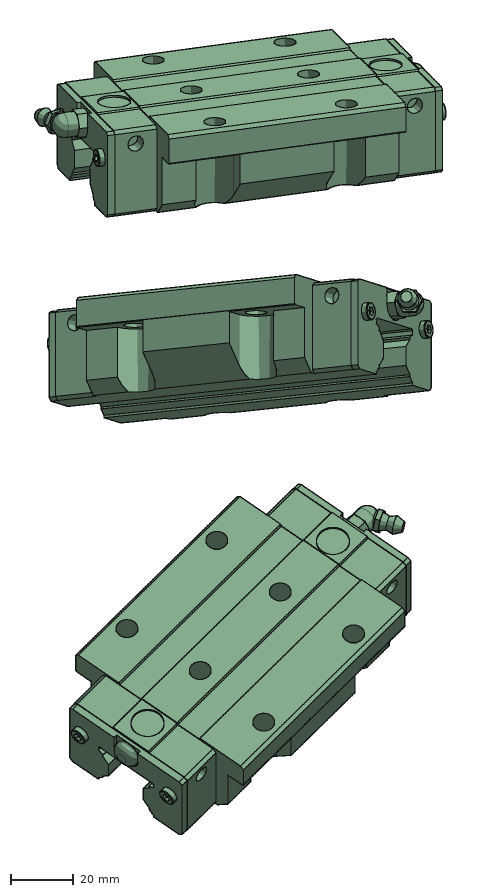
import cadquery as cq


block_width = 70.0
block_length = 80.8
block_height = 30.5
flange_thickness = 9.7
flange_edge_chamfer = 1.2
side_x = 34.6
end_side_x = 28.5
bottom_x = 24.3
flange_bottom_z = block_height - flange_thickness
end_step_top_z = 20.5

groove_outer_x = 16.9
groove_inner_x = 7.4
groove_wall_run = 0.4
groove_floor_z = 29.8

mount_hole_diameter = 7.0
outer_hole_x = 28.5
outer_hole_y = 22.5
center_hole_y = 20.0
bolt_pocket_radius = 6.5

cap_width = 47.3
cap_length = 14.3
cap_top_z = 29.6
cap_strip_z = 30.1
end_top_chamfer_width = 1.3
end_shoulder_z = 28.5
end_bottom_chamfer = 1.2
seal_width = 47.0
seal_thickness = 2.5
seal_top_z = 29.3
cap_end_y = block_length / 2 + cap_length
seal_end_y = cap_end_y + seal_thickness

cap_dimple_radius = 5.3
cap_dimple_depth = 0.6
cap_dimple_y = 46.4
port_radius = 2.6
port_depth = 5.2
port_y = 47.6
port_z = 24.5

channel_half_width = 11.5
channel_roof_z = 18.3
channel_roof_chamfer = 0.5
channel_mouth_z = 0.8
ridge_half_gap = 7.2
ridge_bottom_z = 5.8
ridge_top_z = 12.0
ridge_run = 2.6
lower_relief = (9.7, 2.6)
upper_relief = (9.5, 15.4)
upper_shelf_z = 16.4

screw_x = 18.5
screw_z = 19.2
screw_radius = 2.8
screw_head_height = 2.1
screw_chamfer = 0.3
socket_diameter = 2.8
socket_depth = 1.0

port_axis_z = 24.3
notch_radius = 4.9
notch_depth = 1.3
notch_floor_y = seal_end_y - notch_depth
plug_radius = 4.6
plug_fillet = 2.8
plug_height = 2.1
plug_end_y = seal_end_y + plug_height
hex_diameter = 9.3
hex_length = 3.9
elbow_radius = 4.0
elbow_y = 63.4
nipple_angle = 22.5
nipple_length = 12.1
nipple_tip_radius = 1.8
nipple_rim_radius = 3.1
nipple_rim_at = 9.4
nipple_neck_radius = 2.3
nipple_neck_at = 7.1
nipple_base_radius = 3.1
collar_at = 3.2
collar_thickness = 1.7
collar_diameter = 8.1


def box(x0, x1, y0, y1, z0, z1):
    return cq.Workplane("XY").box(x1 - x0, y1 - y0, z1 - z0, centered=False).translate((x0, y0, z0))


def extrude_along_y(half_outline, y0, y1):
    """Mirror a +X half outline about X = 0 and extrude it from y0 to y1."""
    mirrored = [(-x, z) for x, z in reversed(half_outline)]
    return (
        cq.Workplane("XZ", origin=(0, y0, 0))
        .polyline(half_outline + mirrored).close()
        .extrude(y0 - y1)
    )


def on_both_ends(shape):
    return shape.union(shape.mirror("XZ"))


def make_block():
    half_length = block_length / 2
    edge_x = block_width / 2
    outline = [
        (bottom_x, 0),
        (side_x, side_x - bottom_x),
        (side_x, flange_bottom_z),
        (edge_x, flange_bottom_z),
        (edge_x, block_height - flange_edge_chamfer),
        (edge_x - flange_edge_chamfer, block_height),
        (groove_outer_x, block_height),
        (groove_outer_x - groove_wall_run, groove_floor_z),
        (groove_inner_x + groove_wall_run, groove_floor_z),
        (groove_inner_x, block_height),
    ]
    block = extrude_along_y(outline, -half_length, half_length)

    step_start_y = outer_hole_y - bolt_pocket_radius
    for x_side in (-1, 1):
        for y_side in (-1, 1):
            x_ends = sorted((x_side * end_side_x, x_side * block_width / 2))
            y_ends = sorted((y_side * step_start_y, y_side * half_length))
            block = block.cut(box(*x_ends, *y_ends, 0, end_step_top_z))
            pocket = (
                cq.Workplane("XY")
                .center(x_side * outer_hole_x, y_side * outer_hole_y)
                .circle(bolt_pocket_radius).extrude(end_step_top_z)
            )
            block = block.cut(pocket)

    hole_places = [(0, -center_hole_y), (0, center_hole_y)]
    for x in (-outer_hole_x, outer_hole_x):
        hole_places += [(x, -outer_hole_y), (x, outer_hole_y)]
    holes = (
        cq.Workplane("XY").pushPoints(hole_places)
        .circle(mount_hole_diameter / 2).extrude(block_height)
    )
    return block.cut(holes)


def end_outline(width, top_z):
    side = width / 2
    return [
        (side - end_bottom_chamfer, 0),
        (side, end_bottom_chamfer),
        (side, end_shoulder_z),
        (side - end_top_chamfer_width, top_z),
    ]


def make_end():
    """Cap, seal and screws of the +Y end."""
    cap_outline = end_outline(cap_width, cap_top_z) + [
        (groove_inner_x + groove_wall_run, cap_top_z),
        (groove_inner_x, cap_strip_z),
    ]
    cap = extrude_along_y(cap_outline, block_length / 2, cap_end_y)
    seal = extrude_along_y(end_outline(seal_width, seal_top_z), cap_end_y, seal_end_y)
    end = cap.union(seal)

    dimple = (
        cq.Workplane("XY", origin=(0, cap_dimple_y, cap_strip_z))
        .circle(cap_dimple_radius).extrude(-cap_dimple_depth)
    )
    end = end.cut(dimple)
    for x_side in (-1, 1):
        port = (
            cq.Workplane("YZ", origin=(x_side * cap_width / 2, port_y, port_z))
            .circle(port_radius).extrude(-x_side * port_depth)
        )
        end = end.cut(port)

    notch = (
        cq.Workplane("XZ", origin=(0, notch_floor_y, port_axis_z))
        .moveTo(-notch_radius, block_height - port_axis_z)
        .lineTo(-notch_radius, 0)
        .threePointArc((0, -notch_radius), (notch_radius, 0))
        .lineTo(notch_radius, block_height - port_axis_z)
        .close().extrude(-notch_depth)
    )
    end = end.cut(notch)

    for x in (-screw_x, screw_x):
        screw = (
            cq.Workplane("XZ", origin=(x, seal_end_y, screw_z))
            .circle(screw_radius).extrude(-screw_head_height)
            .faces(">Y").chamfer(screw_chamfer)
        )
        socket = (
            cq.Workplane("XZ", origin=(x, seal_end_y + screw_head_height, screw_z))
            .polygon(6, socket_diameter).extrude(socket_depth)
        )
        end = end.union(screw.cut(socket))
    return end


def make_rail_channel():
    """Rail clearance with one raised ridge along each flank."""
    slope_end_x = ridge_half_gap + ridge_run
    outline = [
        (channel_half_width, 0),
        (channel_half_width, channel_mouth_z),
        lower_relief,
        (slope_end_x, ridge_bottom_z - ridge_run),
        (ridge_half_gap, ridge_bottom_z),
        (ridge_half_gap, ridge_top_z),
        (slope_end_x, ridge_top_z + ridge_run),
        upper_relief,
        (channel_half_width, upper_shelf_z),
        (channel_half_width, channel_roof_z - channel_roof_chamfer),
        (channel_half_width - channel_roof_chamfer, channel_roof_z),
    ]
    return extrude_along_y(outline, -seal_end_y, seal_end_y)


def make_plug():
    return (
        cq.Workplane("XZ", origin=(0, notch_floor_y, port_axis_z))
        .circle(plug_radius).extrude(notch_floor_y - plug_end_y)
        .faces(">Y").edges().fillet(plug_fillet)
    )


def make_fitting():
    """Hexagon, elbow and angled grease nipple."""
    base = cq.Workplane("XZ", origin=(0, -notch_floor_y, port_axis_z))
    hexagon = base.polygon(6, hex_diameter).extrude(hex_length)
    elbow = base.circle(elbow_radius).extrude(elbow_y - notch_floor_y)
    ball = cq.Workplane("XY").sphere(elbow_radius).translate((0, -elbow_y, port_axis_z))

    nipple = (
        cq.Workplane("XZ")
        .polyline([
            (0, 0),
            (0, nipple_base_radius),
            (-collar_at - collar_thickness, nipple_base_radius),
            (-nipple_neck_at, nipple_neck_radius),
            (-nipple_rim_at, nipple_rim_radius),
            (-nipple_length, nipple_tip_radius),
            (-nipple_length, 0),
        ])
        .close().revolve(360, (0, 0, 0), (1, 0, 0))
    )
    collar = (
        cq.Workplane("YZ", origin=(-collar_at, 0, 0))
        .polygon(6, collar_diameter).extrude(-collar_thickness)
    )
    nipple = (
        nipple.union(collar)
        .rotate((0, 0, 0), (0, 0, 1), nipple_angle)
        .translate((0, -elbow_y, port_axis_z))
    )
    return hexagon.union(elbow).union(ball).union(nipple)


carriage = make_block().union(on_both_ends(make_end())).cut(make_rail_channel())
result = carriage.union(make_plug()).union(make_fitting())